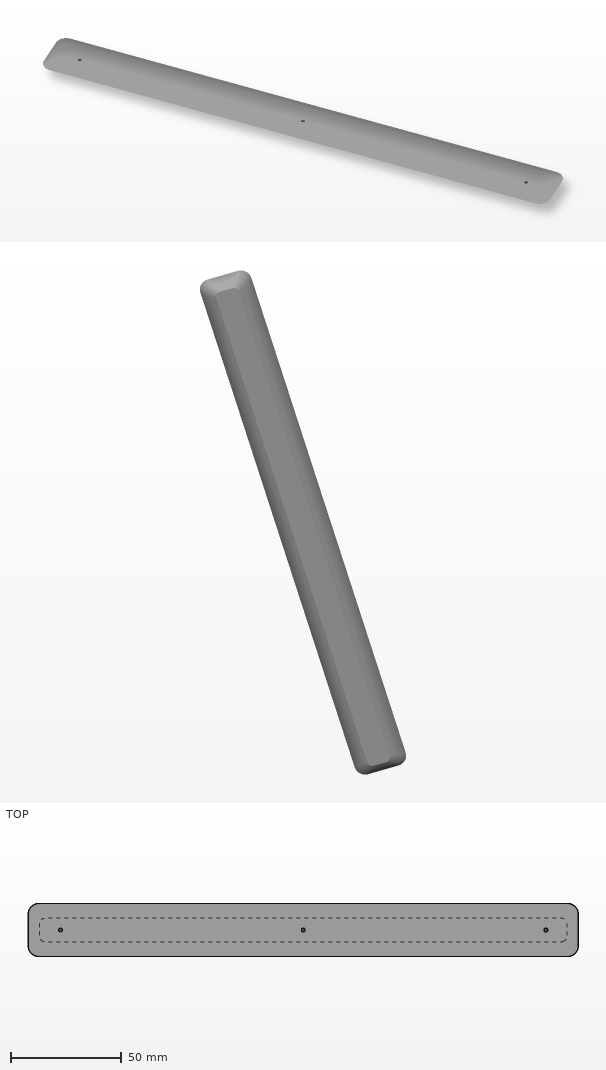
import cadquery as cq

length = 249.3
width = 24.2
height = 6.0

top_corner_radius = 5.0

end_inset = 5.2
side_inset = 6.7
bottom_length = length - 2 * end_inset
bottom_width = width - 2 * side_inset
bottom_corner_radius = 2.5

hole_diameter = 1.7
hole_depth = 3.0
hole_end_margin = 14.7
hole_spacing = length / 2 - hole_end_margin


def rounded_rectangle(size_x, size_y, radius):
    return cq.Sketch().rect(size_x, size_y).vertices().fillet(radius)


def tapered_strip():
    """Loft from the top face at Z = 0 down to the smaller underside."""
    top = rounded_rectangle(length, width, top_corner_radius)
    bottom = rounded_rectangle(bottom_length, bottom_width, bottom_corner_radius)
    bottom = bottom.moved(cq.Location(cq.Vector(0, 0, -height)))
    return cq.Workplane("XY").placeSketch(top, bottom).loft()


def drill_holes(strip):
    """Drill one hole at the middle and one near each end."""
    drills = (
        cq.Workplane("XY")
        .pushPoints([(side * hole_spacing, 0) for side in (-1, 0, 1)])
        .circle(hole_diameter / 2)
        .extrude(-hole_depth)
    )
    return strip.cut(drills)


result = drill_holes(tapered_strip())